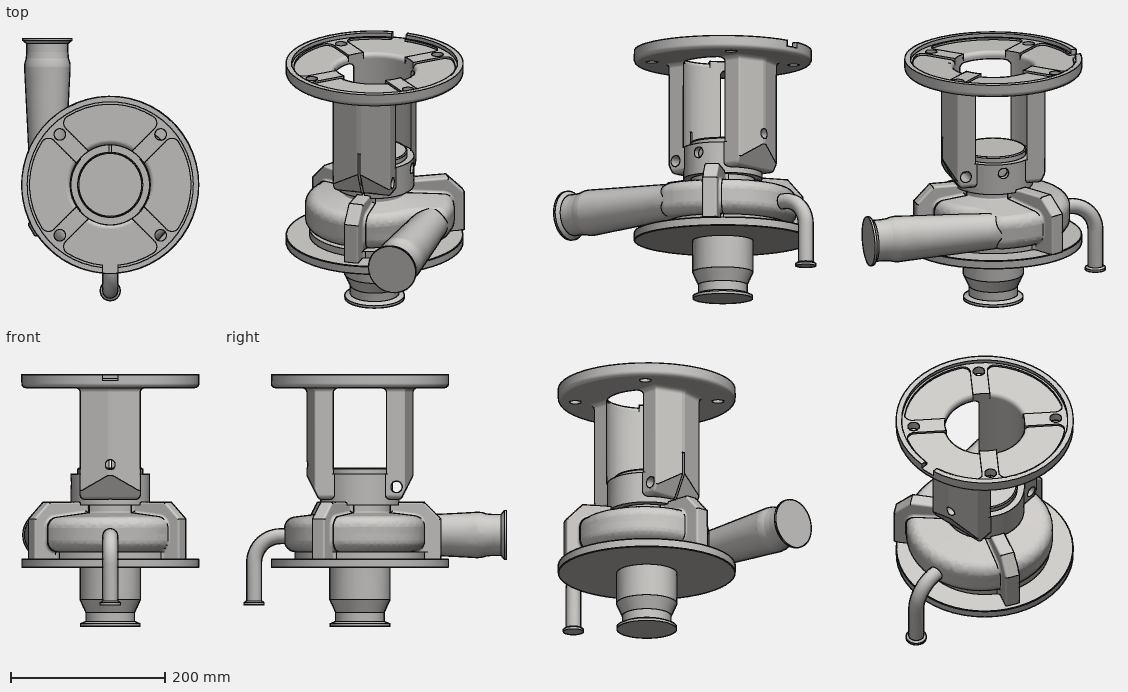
import cadquery as cq
import math


SELECT_MARGIN = 0.5

INLET_RADIUS = 39.3
INLET_PIPE_RADIUS = 31.75
INLET_FERRULE_RADIUS = 38.75
INLET_FERRULE_RIM = 3.5
INLET_FERRULE_TOP = 6.5
INLET_CONE_BOTTOM = 18.2
INLET_CONE_TOP = 34.8

PLATE_RADIUS = 115.0
PLATE_BOTTOM = 76.3
PLATE_TOP = 87.6
PLATE_EDGE_CHAMFER = 0.8
FOOT_RADIUS = 84.5

VOLUTE_BOTTOM = 96.8
VOLUTE_MID = 119.0
VOLUTE_ROUND = 14.5
VOLUTE_CLOSING_ROUND = 15.0
SPIRAL_START_ANGLE = 180.0
SPIRAL_START_RADIUS = 104.7
SPIRAL_SHRINK_PER_DEGREE = 0.076
SPIRAL_SWEEP = 325.0
SPIRAL_POINTS = 16
SPIRAL_RUNOUT = 22.0
ROOF_TOP = 147.4
ROOF_SLOPE = 0.124
NECK_ROOT_ROUND = 1.5

NECK_RADIUS = 41.0
COLLAR_RADIUS = 51.0
COLLAR_BOTTOM = 157.4
COLLAR_TOP = 197.6
HUB_RADIUS = 42.3
HUB_TOP = 205.4
HUB_CHAMFER = 1.5
COLLAR_PORT_DIAMETER = 14.0
COLLAR_PORT_Z = 185.7

RIBS = ((90.0, 105.0), (210.0, 118.0), (330.0, 108.9))
RIB_THICKNESS = 19.4
RIB_TOP = 161.1
RIB_CORNER = 21.5
RIB_EDGE_ROUND = 2.7
RIB_INNER_RADIUS = 20.0
RIB_ROOT_ROUND = 3.5
RIB_ROOT_OVERLAP = 2.0

OUTLET_X = -81.6
OUTLET_Z = 118.6
OUTLET_END = 190.2
OUTLET_START = -4.0
OUTLET_START_RADIUS = 21.8
OUTLET_BODY_RADIUS = 29.7
OUTLET_BODY_END = 152.3
OUTLET_SHOULDER_RADIUS = 27.6
OUTLET_SHOULDER_END = 163.5
OUTLET_PIPE_RADIUS = 26.8
OUTLET_PIPE_START = 172.0
OUTLET_FERRULE_RADIUS = 32.0
OUTLET_FERRULE_BACK = 183.3
OUTLET_FERRULE_RIM = 2.8

OVERALL_LENGTH_Y = 340.7
DRAIN_RADIUS = 9.8
DRAIN_Z = 117.0
DRAIN_BEND_RADIUS = 34.4
DRAIN_START_Y = -80.0
DRAIN_FERRULE_RADIUS = 13.15
DRAIN_FERRULE_RIM = 3.0
DRAIN_FERRULE_HEIGHT = 5.0
DRAIN_END_Z = 28.0
DRAIN_Y = OUTLET_END - OVERALL_LENGTH_Y + DRAIN_FERRULE_RADIUS

FLANGE_RADIUS = 115.0
FLANGE_TOP = 326.5
FLANGE_BOTTOM = 309.6
FLANGE_EDGE_ROUND = 5.5
BORE_RADIUS = 52.0
SPIGOT_RADIUS = 107.8
SPIGOT_DEPTH = 5.0
POCKET_RADIUS = 104.7
POCKET_DEPTH = 7.6
POCKET_CORNER = 10.0
PAD_WIDTH = 22.0
BORE_ROUND = 6.0
BOLT_CIRCLE_RADIUS = 92.5
BOLT_HOLE_DIAMETER = 15.0
DRAIN_NOTCH_WIDTH = 19.6
NOTCH_INNER_RADIUS = POCKET_RADIUS - 5.0

LEG_HALF_WIDTH = 39.0
LEG_RIDGE_HALF_WIDTH = 2.8
LEG_RIDGE_Y = 69.0
LEG_SHOULDER_Y = 58.5
LEG_INNER_Y = 25.0
LEG_BOTTOM = 164.8
LEG_SLOPE_TOP = 196.0
LEG_SLOPE_ANGLE = 63.3
LEG_EDGE_ROUND = 2.6
LEG_BOTTOM_ROUND = 6.0
LEG_FLANGE_ROUND = 6.0
SIGHT_HOLE_DIAMETER = 12.9
SIGHT_HOLE_Z = 209.8
CLAMP_HOLE_DIAMETER = 14.6
CLAMP_HOLE_Y = 47.4
CLAMP_HOLE_Z = 181.0
SLIT_WIDTH = 3.2
SLIT_TOP = 225.0


def box_selector(low, high, whole=False):
    """Select what is centred in the box, or what lies wholly inside it."""
    return cq.selectors.BoxSelector(low, high, boundingbox=whole)


def cylinder(radius, bottom, top):
    """Upright cylinder on the pump axis."""
    return cq.Workplane("XY").workplane(offset=bottom).circle(radius).extrude(top - bottom)


def make_inlet():
    profile = (
        cq.Workplane("XZ")
        .lineTo(INLET_FERRULE_RADIUS, 0)
        .lineTo(INLET_FERRULE_RADIUS, INLET_FERRULE_RIM)
        .lineTo(INLET_PIPE_RADIUS, INLET_FERRULE_TOP)
        .lineTo(INLET_PIPE_RADIUS, INLET_CONE_BOTTOM)
        .lineTo(INLET_RADIUS, INLET_CONE_TOP)
        .lineTo(INLET_RADIUS, PLATE_BOTTOM)
        .lineTo(0, PLATE_BOTTOM)
        .close()
    )
    return profile.revolve(360, (0, 0, 0), (0, 1, 0))


def make_base():
    plate = cylinder(PLATE_RADIUS, PLATE_BOTTOM, PLATE_TOP).edges().chamfer(PLATE_EDGE_CHAMFER)
    return plate.union(cylinder(FOOT_RADIUS, PLATE_TOP, VOLUTE_BOTTOM))


def spiral_radius(swept):
    """Volute wall radius after turning by the given angle from the outlet side."""
    return SPIRAL_START_RADIUS - SPIRAL_SHRINK_PER_DEGREE * swept


def roof_height(radius):
    return ROOF_TOP - ROOF_SLOPE * (radius - NECK_RADIUS)


def spiral_point(swept):
    radius = spiral_radius(swept)
    angle = math.radians(SPIRAL_START_ANGLE + swept)
    return (radius * math.cos(angle), radius * math.sin(angle))


def make_roof_cutter():
    """Everything above the slightly conical volute roof."""
    cutter_radius = SPIRAL_START_RADIUS + SPIRAL_RUNOUT
    return (
        cq.Workplane("XZ")
        .moveTo(0, ROOF_TOP)
        .lineTo(NECK_RADIUS, ROOF_TOP)
        .lineTo(cutter_radius, roof_height(cutter_radius))
        .lineTo(cutter_radius, COLLAR_TOP)
        .lineTo(0, COLLAR_TOP)
        .close()
        .revolve(360, (0, 0, 0), (0, 1, 0))
    )


def make_volute():
    points = [spiral_point(SPIRAL_SWEEP * i / SPIRAL_POINTS) for i in range(SPIRAL_POINTS + 1)]
    side = PLATE_RADIUS
    closing_corners = box_selector((-side, SPIRAL_RUNOUT / 2, VOLUTE_BOTTOM), (0, side, ROOF_TOP))
    body = (
        cq.Workplane("XY")
        .workplane(offset=VOLUTE_BOTTOM)
        .moveTo(*points[0])
        .spline(points[1:], includeCurrent=True)
        .lineTo(-SPIRAL_START_RADIUS, SPIRAL_RUNOUT)
        .close()
        .extrude(ROOF_TOP - VOLUTE_BOTTOM)
        .edges("|Z")
        .edges(closing_corners)
        .fillet(VOLUTE_CLOSING_ROUND)
        .cut(make_roof_cutter())
        .faces("<Z")
        .edges()
        .fillet(VOLUTE_ROUND)
    )
    roof_edges = box_selector((-side, -side, VOLUTE_MID), (side, side, ROOF_TOP - SELECT_MARGIN))
    return body.edges(roof_edges).edges("not |Z").fillet(VOLUTE_ROUND)


def make_rib(angle, outer_radius):
    """Upright rib whose outer top corner is cut at 45 degrees."""
    rib = (
        cq.Workplane("XZ")
        .moveTo(RIB_INNER_RADIUS, PLATE_TOP)
        .lineTo(outer_radius, PLATE_TOP)
        .lineTo(outer_radius, RIB_TOP - RIB_CORNER)
        .lineTo(outer_radius - RIB_CORNER, RIB_TOP)
        .lineTo(RIB_INNER_RADIUS, RIB_TOP)
        .close()
        .extrude(RIB_THICKNESS / 2, both=True)
        .faces(">X or >Z or >(1,0,1)")
        .edges("<Y or >Y")
        .fillet(RIB_EDGE_ROUND)
    )
    return rib.rotate((0, 0, 0), (0, 0, 1), angle)


def root_section(plane):
    """Concave fillet section, overlapping the faces it joins; local Y points away from the wall."""
    overlap = RIB_ROOT_OVERLAP
    size = RIB_ROOT_ROUND
    return (
        cq.Workplane(plane)
        .moveTo(-overlap, -overlap)
        .lineTo(-overlap, size)
        .lineTo(0, size)
        .radiusArc((size, 0), -size)
        .lineTo(size, -overlap)
        .close()
    )


def make_rib_roots(angle):
    """Fillets where both sides of a rib meet the foot, the volute and the neck."""
    half = RIB_THICKNESS / 2
    foot_radius = math.sqrt(FOOT_RADIUS**2 - half**2)
    neck_radius = math.sqrt(NECK_RADIUS**2 - half**2)
    wall_radius = math.sqrt(spiral_radius((angle - SPIRAL_START_ANGLE) % 360) ** 2 - half**2)
    arc_radius = wall_radius - VOLUTE_ROUND
    low_arc_z = VOLUTE_BOTTOM + VOLUTE_ROUND
    tilt = math.atan(ROOF_SLOPE)
    high_arc_z = roof_height(arc_radius) - VOLUTE_ROUND / math.cos(tilt)
    roof_start = arc_radius + VOLUTE_ROUND * math.sin(tilt)
    path = (
        cq.Workplane("XZ", origin=(0, half, 0))
        .moveTo(arc_radius, VOLUTE_BOTTOM)
        .radiusArc((wall_radius, low_arc_z), -VOLUTE_ROUND)
        .lineTo(wall_radius, high_arc_z)
        .radiusArc((roof_start, high_arc_z + VOLUTE_ROUND * math.cos(tilt)), -VOLUTE_ROUND)
        .lineTo(neck_radius, roof_height(neck_radius))
    )
    underside = cq.Plane((arc_radius, half, VOLUTE_BOTTOM), xDir=(0, 1, 0), normal=(-1, 0, 0))
    roots = root_section(underside).sweep(path)
    for radius, bottom, top in (
        (foot_radius, PLATE_TOP, VOLUTE_BOTTOM),
        (neck_radius, roof_height(neck_radius), COLLAR_BOTTOM),
    ):
        upright = cq.Plane((radius, half, bottom), xDir=(0, 1, 0), normal=(0, 0, -1))
        roots = roots.union(root_section(upright).extrude(bottom - top))
    roots = roots.union(roots.mirror("XZ"))
    return roots.rotate((0, 0, 0), (0, 0, 1), angle)


def make_outlet():
    profile = (
        cq.Workplane("XY")
        .moveTo(OUTLET_X, OUTLET_START)
        .lineTo(OUTLET_X + OUTLET_START_RADIUS, OUTLET_START)
        .lineTo(OUTLET_X + OUTLET_BODY_RADIUS, OUTLET_BODY_END)
        .tangentArcPoint((OUTLET_X + OUTLET_SHOULDER_RADIUS, OUTLET_SHOULDER_END), relative=False)
        .lineTo(OUTLET_X + OUTLET_PIPE_RADIUS, OUTLET_PIPE_START)
        .lineTo(OUTLET_X + OUTLET_PIPE_RADIUS, OUTLET_FERRULE_BACK)
        .lineTo(OUTLET_X + OUTLET_FERRULE_RADIUS, OUTLET_END - OUTLET_FERRULE_RIM)
        .lineTo(OUTLET_X + OUTLET_FERRULE_RADIUS, OUTLET_END)
        .lineTo(OUTLET_X, OUTLET_END)
        .close()
    )
    pipe = profile.revolve(360, (OUTLET_X, 0, 0), (OUTLET_X, 1, 0))
    return pipe.translate((0, 0, OUTLET_Z))


def make_drain():
    bend_start_y = DRAIN_Y + DRAIN_BEND_RADIUS
    bend_end_z = DRAIN_Z - DRAIN_BEND_RADIUS
    path = (
        cq.Workplane("YZ")
        .moveTo(DRAIN_START_Y, DRAIN_Z)
        .lineTo(bend_start_y, DRAIN_Z)
        .tangentArcPoint((DRAIN_Y, bend_end_z), relative=False)
        .lineTo(DRAIN_Y, DRAIN_END_Z)
    )
    start = cq.Workplane("XZ", origin=(0, DRAIN_START_Y, DRAIN_Z))
    pipe = start.circle(DRAIN_RADIUS).sweep(path)
    ferrule = (
        cq.Workplane("XZ")
        .lineTo(DRAIN_FERRULE_RADIUS, 0)
        .lineTo(DRAIN_FERRULE_RADIUS, DRAIN_FERRULE_RIM)
        .lineTo(DRAIN_RADIUS, DRAIN_FERRULE_HEIGHT)
        .lineTo(0, DRAIN_FERRULE_HEIGHT)
        .close()
        .revolve(360, (0, 0, 0), (0, 1, 0))
        .translate((0, DRAIN_Y, DRAIN_END_Z))
    )
    return pipe.union(ferrule)


def make_leg():
    """Leg on the +Y side with a ridged outer face and a sloping foot."""
    slope_drop = LEG_SLOPE_TOP - LEG_BOTTOM
    slope_run = slope_drop / math.tan(math.radians(LEG_SLOPE_ANGLE))
    side = (
        cq.Workplane("YZ")
        .moveTo(LEG_INNER_Y, LEG_BOTTOM)
        .lineTo(LEG_RIDGE_Y - slope_run, LEG_BOTTOM)
        .lineTo(LEG_RIDGE_Y, LEG_SLOPE_TOP)
        .lineTo(LEG_RIDGE_Y, FLANGE_BOTTOM)
        .lineTo(LEG_INNER_Y, FLANGE_BOTTOM)
        .close()
        .extrude(LEG_HALF_WIDTH, both=True)
    )
    section = (
        cq.Workplane("XY")
        .workplane(offset=LEG_BOTTOM)
        .moveTo(-LEG_HALF_WIDTH, LEG_INNER_Y)
        .lineTo(-LEG_HALF_WIDTH, LEG_SHOULDER_Y)
        .lineTo(-LEG_RIDGE_HALF_WIDTH, LEG_RIDGE_Y)
        .lineTo(LEG_RIDGE_HALF_WIDTH, LEG_RIDGE_Y)
        .lineTo(LEG_HALF_WIDTH, LEG_SHOULDER_Y)
        .lineTo(LEG_HALF_WIDTH, LEG_INNER_Y)
        .close()
        .extrude(FLANGE_BOTTOM - LEG_BOTTOM)
    )
    leg = side.intersect(section)
    leg = leg.faces("<Z").edges("not <Y").fillet(LEG_BOTTOM_ROUND)
    shoulders = box_selector(
        (
            -LEG_HALF_WIDTH - SELECT_MARGIN,
            LEG_INNER_Y + SELECT_MARGIN,
            LEG_BOTTOM + LEG_BOTTOM_ROUND + SELECT_MARGIN,
        ),
        (
            LEG_HALF_WIDTH + SELECT_MARGIN,
            LEG_SHOULDER_Y + SELECT_MARGIN,
            FLANGE_BOTTOM - SELECT_MARGIN,
        ),
    )
    return leg.faces("<X or >X").edges(shoulders).fillet(LEG_EDGE_ROUND)


def make_pocket():
    """Shallow flange pocket between two neighbouring pads, on the +X side."""
    inner_corner = PAD_WIDTH / math.sqrt(2)
    reach = 2 * POCKET_RADIUS
    depth = POCKET_DEPTH
    wedge = (
        cq.Workplane("XY")
        .workplane(offset=FLANGE_TOP - depth)
        .moveTo(inner_corner, 0)
        .lineTo(inner_corner + reach, -reach)
        .lineTo(inner_corner + reach, reach)
        .close()
        .extrude(depth)
    )
    ring = cylinder(POCKET_RADIUS, FLANGE_TOP - depth, FLANGE_TOP)
    pocket = wedge.intersect(ring).edges("|Z").edges(">Y or <Y").fillet(POCKET_CORNER)
    wedge_below = wedge.translate((0, 0, -depth))
    return pocket.union(make_bore_rounding().intersect(wedge_below))


def make_bore_rounding():
    """Ring removed to round the bore's top edge at pocket floor level."""
    floor = FLANGE_TOP - POCKET_DEPTH
    return (
        cq.Workplane("XZ")
        .moveTo(BORE_RADIUS, floor - BORE_ROUND)
        .radiusArc((BORE_RADIUS + BORE_ROUND, floor), BORE_ROUND)
        .lineTo(BORE_RADIUS, floor)
        .close()
        .revolve(360, (0, 0, 0), (0, 1, 0))
    )


def make_flange_recesses():
    """Spigot recess, pockets, bolt holes and drain notch cut into the flange."""
    recesses = cylinder(SPIGOT_RADIUS, FLANGE_TOP - SPIGOT_DEPTH, FLANGE_TOP)
    pocket = make_pocket()
    for quarter in range(4):
        recesses = recesses.union(pocket.rotate((0, 0, 0), (0, 0, 1), 90 * quarter))
    bolt_holes = (
        cq.Workplane("XY")
        .workplane(offset=FLANGE_BOTTOM)
        .polarArray(BOLT_CIRCLE_RADIUS, 45, 360, 4)
        .circle(BOLT_HOLE_DIAMETER / 2)
        .extrude(FLANGE_TOP - FLANGE_BOTTOM)
    )
    notch_length = FLANGE_RADIUS - NOTCH_INNER_RADIUS
    notch = (
        cq.Workplane("XY")
        .box(DRAIN_NOTCH_WIDTH, notch_length, POCKET_DEPTH, centered=(True, False, False))
        .translate((0, -FLANGE_RADIUS, FLANGE_TOP - POCKET_DEPTH))
    )
    return recesses.union(bolt_holes).union(notch)


def make_leg_openings():
    """Sight hole, clamp screw hole, collar port and the slit of the clamp."""
    sight_hole = (
        cq.Workplane("XZ", origin=(0, 0, SIGHT_HOLE_Z))
        .circle(SIGHT_HOLE_DIAMETER / 2)
        .extrude(LEG_RIDGE_Y)
    )
    clamp_hole = (
        cq.Workplane("YZ", origin=(0, CLAMP_HOLE_Y, CLAMP_HOLE_Z))
        .circle(CLAMP_HOLE_DIAMETER / 2)
        .extrude(LEG_HALF_WIDTH, both=True)
    )
    port = (
        cq.Workplane("YZ", origin=(0, 0, COLLAR_PORT_Z))
        .circle(COLLAR_PORT_DIAMETER / 2)
        .extrude(-COLLAR_RADIUS)
    )
    slit = (
        cq.Workplane("XY")
        .box(SLIT_WIDTH, LEG_RIDGE_Y, SLIT_TOP - COLLAR_BOTTOM, centered=(True, False, False))
        .translate((0, 0, COLLAR_BOTTOM))
    )
    return sight_hole.union(clamp_hole).union(port).union(slit)


def make_bracket():
    """Motor flange, its two legs and the clamping collar."""
    flange = cylinder(FLANGE_RADIUS, FLANGE_BOTTOM, FLANGE_TOP)
    flange = flange.faces("<Z").edges().fillet(FLANGE_EDGE_ROUND)
    leg = make_leg()
    bracket = flange.union(leg).union(leg.mirror("XZ"))
    reach = LEG_RIDGE_Y + SELECT_MARGIN
    leg_roots = box_selector(
        (-reach, -reach, FLANGE_BOTTOM - SELECT_MARGIN),
        (reach, reach, FLANGE_BOTTOM + SELECT_MARGIN),
        whole=True,
    )
    bracket = bracket.edges(leg_roots).fillet(LEG_FLANGE_ROUND)
    bracket = bracket.cut(cylinder(BORE_RADIUS, COLLAR_TOP, FLANGE_TOP))
    bracket = bracket.union(cylinder(COLLAR_RADIUS, COLLAR_BOTTOM, COLLAR_TOP))
    return bracket.cut(make_flange_recesses()).cut(make_leg_openings())


def make_casing():
    """Volute with its neck, foot, base plate and ribs."""
    casing = make_volute().union(cylinder(NECK_RADIUS, VOLUTE_MID, COLLAR_BOTTOM))
    neck_root = box_selector(
        (-SELECT_MARGIN, -SELECT_MARGIN, ROOF_TOP - SELECT_MARGIN),
        (SELECT_MARGIN, SELECT_MARGIN, ROOF_TOP + SELECT_MARGIN),
    )
    casing = casing.edges(neck_root).fillet(NECK_ROOT_ROUND)
    casing = casing.union(make_base())
    for angle, outer_radius in RIBS:
        casing = casing.union(make_rib(angle, outer_radius).union(make_rib_roots(angle)))
    return casing


hub = cylinder(HUB_RADIUS, COLLAR_BOTTOM, HUB_TOP).faces(">Z").edges().chamfer(HUB_CHAMFER)
result = make_inlet().union(make_casing()).union(make_outlet()).union(make_drain())
result = result.union(make_bracket()).union(hub)